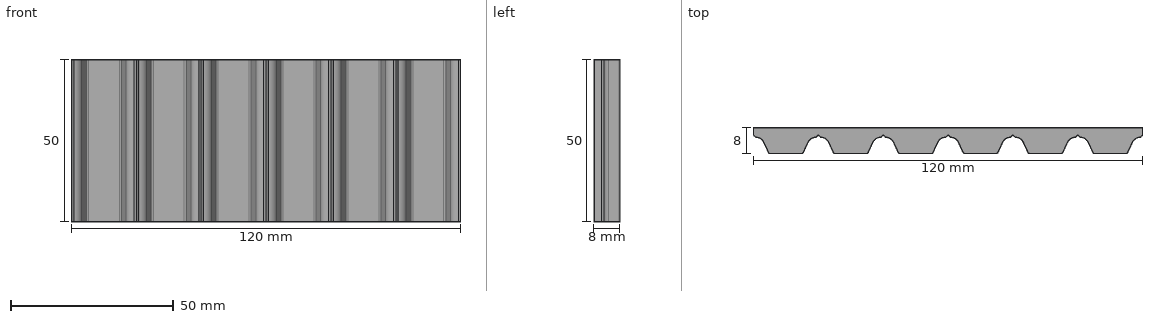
import cadquery as cq
import math

length = 120.0
thickness = 8.0
width = 50.0

tooth_count = 6
tooth_height = 5.0
tooth_root_width = 15.1
flank_angle = math.radians(25)
root_radius = 2.6
tip_radius = 0.7

groove_half_width = 0.7
groove_depth = 0.7

pitch = length / tooth_count
land_y = tooth_height - thickness
tip_y = -thickness
groove_y = land_y + groove_depth

half_turn = (math.pi / 2 - flank_angle) / 2
root_tangent = root_radius * math.tan(half_turn)
tip_tangent = tip_radius * math.tan(half_turn)
flank_x = math.sin(flank_angle)
flank_y = math.cos(flank_angle)

root_half = tooth_root_width / 2
tip_half = root_half - tooth_height * math.tan(flank_angle)

groove_edge = (pitch / 2 - groove_half_width, land_y)
root_land = (root_half + root_tangent, land_y)
root_flank = (root_half - root_tangent * flank_x, land_y - root_tangent * flank_y)
tip_flank = (tip_half + tip_tangent * flank_x, tip_y + tip_tangent * flank_y)
tip_flat = (tip_half - tip_tangent, tip_y)


root_middle = (
    root_land[0] - root_radius * math.sin(half_turn),
    land_y - root_radius * (1 - math.cos(half_turn)),
)
tip_middle = (
    tip_flat[0] + tip_radius * math.sin(half_turn),
    tip_y + tip_radius * (1 - math.cos(half_turn)),
)


def add_tooth(outline, center_x):
    """Continue the outline over one tooth, from groove to groove."""

    def left(point):
        return (center_x - point[0], point[1])

    def right(point):
        return (center_x + point[0], point[1])

    return (
        outline.lineTo(*left(groove_edge))
        .lineTo(*left(root_land))
        .threePointArc(left(root_middle), left(root_flank))
        .lineTo(*left(tip_flank))
        .threePointArc(left(tip_middle), left(tip_flat))
        .lineTo(*right(tip_flat))
        .threePointArc(right(tip_middle), right(tip_flank))
        .lineTo(*right(root_flank))
        .threePointArc(right(root_middle), right(root_land))
        .lineTo(*right(groove_edge))
        .lineTo(center_x + pitch / 2, groove_y)
    )


profile = cq.Workplane("XY").moveTo(-length / 2, 0).lineTo(-length / 2, groove_y)
for tooth in range(tooth_count):
    profile = add_tooth(profile, -length / 2 + (tooth + 0.5) * pitch)
profile = profile.lineTo(length / 2, 0).close()

result = profile.extrude(width)